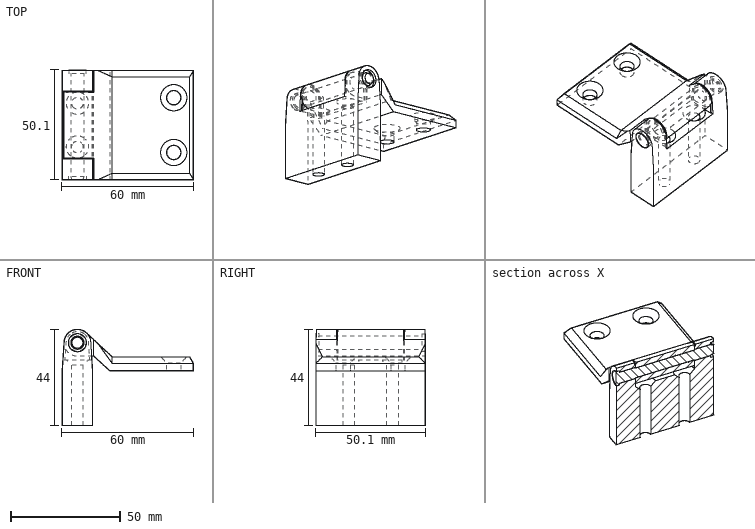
import cadquery as cq
import math


LENGTH = 60.0
WIDTH = 50.0
KNUCKLE_R = 6.1
FOOT_Z = -12.9
HALF_WIDTH = WIDTH / 2
TOOL_MARGIN = 0.6

BASE_T = 14.0
BASE_BOTTOM_Z = -37.85
SLOT_FLOOR_Z = -7.8
SLOT_W = 31.0
PAD_INSET = 1.0
BASE_HOLE_D = 5.3
BASE_SINK_D = 10.2
BASE_HOLE_PITCH = 20.0
BASE_DRAFT = math.tan(math.radians(0.5))

PIN_R = 3.0
PIN_TIP_R = 2.5
TAIL_RECESS_R = 4.15
HEAD_R = 3.9
HEAD_PROUD = 0.1
RECESS_DEPTH = 1.5

BARREL_W = 30.1
LEAF_T = 6.5
BEND_X = 15.9
UNDER_BEND_X = 14.8
KNUCKLE_CLEAR_X = 7.45
BEVEL_H = 3.0
SIDE_BEVEL = 3.0
END_BEVEL = 1.75
BEVEL_START_X = 9.3
LEAF_HOLE_D = 6.4
LEAF_SINK_D = 12.0
LEAF_HOLE_PITCH = 25.0
LEAF_HOLE_EDGE = 9.0
LEAF_DRAFT = math.tan(math.radians(1.0))

LEAF_END_X = LENGTH - BASE_T / 2
LEAF_TOP_Z = FOOT_Z + LEAF_T
LEAF_PART_Z = LEAF_TOP_Z - BEVEL_H


def tangent_point(x, z, radius):
    """Point where a line from (x, z), x > 0, touches the upper part of the circle round the axis."""
    angle = math.atan2(z, x) + math.acos(radius / math.hypot(x, z))
    return radius * math.cos(angle), radius * math.sin(angle)


def along_y(outline, width):
    """Extrude an XZ outline symmetrically about the middle of the hinge."""
    return outline.extrude(width / 2, both=True)


def rod(radius, y_start, y_end):
    """Cylinder on the hinge axis."""
    return cq.Workplane("XZ", origin=(0, y_start, 0)).circle(radius).extrude(y_start - y_end)


def sunk_hole(x, y, z, hole_d, sink_d, depth):
    """Cutter for a 90 degree countersunk hole going down from z."""
    hole_r = hole_d / 2
    sink_r = sink_d / 2
    profile = [(0, 0), (sink_r, 0), (hole_r, hole_r - sink_r), (hole_r, -depth), (0, -depth)]
    cutter = cq.Workplane("XZ").polyline(profile).close().revolve(360, (0, 0), (0, 1))
    return cutter.translate((x, y, z))


def knuckle_outline(inset, foot_z):
    """Round-topped outline of the base above foot_z, moved inward by inset."""
    radius = KNUCKLE_R - inset
    touch_x, touch_z = tangent_point(BASE_T / 2, FOOT_Z, KNUCKLE_R)
    flank_slope = (BASE_T / 2 - touch_x) / (touch_z - FOOT_Z)
    touch_x *= radius / KNUCKLE_R
    touch_z *= radius / KNUCKLE_R
    foot_x = touch_x + flank_slope * (touch_z - foot_z)
    return (
        cq.Workplane("XZ")
        .moveTo(-foot_x, foot_z)
        .lineTo(foot_x, foot_z)
        .lineTo(touch_x, touch_z)
        .threePointArc((0, radius), (-touch_x, touch_z))
        .close()
    )


def drafted_block(bottom_half, bottom_z, top_half, top_z):
    """Block across the base whose Y width changes from bottom to top."""
    profile = [(-bottom_half, bottom_z), (bottom_half, bottom_z), (top_half, top_z), (-top_half, top_z)]
    return cq.Workplane("YZ").polyline(profile).close().extrude(BASE_T, both=True)


def make_base():
    block_h = FOOT_Z - BASE_BOTTOM_Z
    base = cq.Workplane().box(BASE_T, WIDTH, block_h, centered=(True, True, False))
    base = base.translate((0, 0, BASE_BOTTOM_Z))
    top_half = HALF_WIDTH - BASE_DRAFT * (KNUCKLE_R - FOOT_Z)
    upper = along_y(knuckle_outline(0, FOOT_Z), WIDTH)
    base = base.union(upper.intersect(drafted_block(HALF_WIDTH, FOOT_Z, top_half, KNUCKLE_R)))

    floor_half = SLOT_W / 2 + BASE_DRAFT * SLOT_FLOOR_Z
    slot_top_half = SLOT_W / 2 + BASE_DRAFT * KNUCKLE_R
    slot = drafted_block(floor_half, SLOT_FLOOR_Z, slot_top_half, KNUCKLE_R)

    pads = along_y(knuckle_outline(PAD_INSET, SLOT_FLOOR_Z), WIDTH)
    pads = pads.cut(along_y(cq.Workplane("XZ").rect(2 * BASE_T, 4 * KNUCKLE_R), BARREL_W))
    base = base.cut(slot.cut(pads))

    hole_depth = SLOT_FLOOR_Z - BASE_BOTTOM_Z + TOOL_MARGIN
    for y in (-BASE_HOLE_PITCH / 2, BASE_HOLE_PITCH / 2):
        base = base.cut(sunk_hole(0, y, SLOT_FLOOR_Z, BASE_HOLE_D, BASE_SINK_D, hole_depth))

    base = base.cut(rod(PIN_R, -HALF_WIDTH, HALF_WIDTH))
    base = base.cut(rod(TAIL_RECESS_R, -HALF_WIDTH, RECESS_DEPTH - HALF_WIDTH))
    return base.cut(rod(HEAD_R, HALF_WIDTH - RECESS_DEPTH, HALF_WIDTH))


def make_pin():
    head_seat_y = HALF_WIDTH - RECESS_DEPTH
    head_end_y = HALF_WIDTH + HEAD_PROUD
    profile = [
        (0, -HALF_WIDTH),
        (PIN_TIP_R, -HALF_WIDTH),
        (PIN_R, RECESS_DEPTH - HALF_WIDTH),
        (PIN_R, head_seat_y),
        (HEAD_R, head_seat_y),
        (HEAD_R, head_end_y),
        (0, head_end_y),
    ]
    return cq.Workplane("XY").polyline(profile).close().revolve(360, (0, 0), (0, 1))


def draft_wedge(start, end, depth, inward):
    """Cutter that slopes a side face inward below the line from start to end."""
    start = cq.Vector(*start)
    low = start - cq.Vector(0, 0, depth)
    corner = low + cq.Vector(*inward) * (LEAF_DRAFT * depth)
    face = cq.Face.makeFromWires(cq.Wire.makePolygon([start, low, corner], close=True))
    return cq.Workplane(cq.Solid.extrudeLinear(face, cq.Vector(*end) - start))


def leaf_outline():
    """Leaf side outline: barrel round, sloping arm and flat plate with a bevelled outer edge."""
    slope_start = tangent_point(BEND_X, LEAF_TOP_Z, KNUCKLE_R)
    return (
        cq.Workplane("XZ")
        .moveTo(0, -KNUCKLE_R)
        .lineTo(KNUCKLE_CLEAR_X, -KNUCKLE_R)
        .lineTo(UNDER_BEND_X, FOOT_Z)
        .lineTo(LEAF_END_X, FOOT_Z)
        .lineTo(LEAF_END_X, LEAF_PART_Z)
        .lineTo(LEAF_END_X - END_BEVEL, LEAF_TOP_Z)
        .lineTo(BEND_X, LEAF_TOP_Z)
        .lineTo(*slope_start)
        .threePointArc((-KNUCKLE_R, 0), (0, -KNUCKLE_R))
        .close()
    )


def knuckle_gap(side):
    """Cutter beside the barrel that makes room for one base knuckle."""
    x_size = 2 * KNUCKLE_CLEAR_X
    z_size = 4 * KNUCKLE_R
    gap = cq.Workplane().box(x_size, HALF_WIDTH, z_size)
    return gap.translate((0, side * (BARREL_W + HALF_WIDTH) / 2, 0))


def tetrahedron(a, b, c, d):
    triangles = [(a, b, c), (a, b, d), (a, c, d), (b, c, d)]
    faces = [cq.Face.makeFromWires(cq.Wire.makePolygon(corners, close=True)) for corners in triangles]
    return cq.Workplane(cq.Solid.makeSolid(cq.Shell.makeShell(faces)))


def bevel_long_edge(leaf, side):
    """Bevel one long edge of the plate, running out to a point on the sloping arm."""
    edge_y = side * HALF_WIDTH
    section = [
        cq.Vector(BEND_X, edge_y, LEAF_PART_Z),
        cq.Vector(BEND_X, edge_y - side * SIDE_BEVEL, LEAF_TOP_Z),
        cq.Vector(BEND_X, edge_y, LEAF_TOP_Z),
    ]
    face = cq.Face.makeFromWires(cq.Wire.makePolygon(section, close=True))
    plate_bevel = cq.Workplane(cq.Solid.extrudeLinear(face, cq.Vector(LENGTH, 0, 0)))

    touch_x, touch_z = tangent_point(BEND_X, LEAF_TOP_Z, KNUCKLE_R)
    slope = (touch_z - LEAF_TOP_Z) / (BEND_X - touch_x)
    run_out = cq.Vector(BEVEL_START_X, edge_y, LEAF_TOP_Z + slope * (BEND_X - BEVEL_START_X))
    return leaf.cut(plate_bevel).cut(tetrahedron(run_out, *section))


def draft_side(leaf, side):
    """Slope one side of the leaf inward below its parting line."""
    edge_y = side * HALF_WIDTH
    barrel_y = side * BARREL_W / 2
    bend = (BEND_X, edge_y, LEAF_PART_Z)
    parting_lines = [
        ((-KNUCKLE_R, barrel_y, 0), (KNUCKLE_CLEAR_X, barrel_y, 0)),
        ((KNUCKLE_CLEAR_X, edge_y, 0), bend),
        (bend, (LEAF_END_X, edge_y, LEAF_PART_Z)),
    ]
    for start, end in parting_lines:
        leaf = leaf.cut(draft_wedge(start, end, 2 * KNUCKLE_R, (0, -side, 0)))
    return leaf


def make_leaf():
    leaf = along_y(leaf_outline(), WIDTH)
    for side in (-1, 1):
        leaf = leaf.cut(knuckle_gap(side))
        leaf = bevel_long_edge(leaf, side)
        leaf = draft_side(leaf, side)

    edge_start = (LEAF_END_X, -HALF_WIDTH, LEAF_PART_Z)
    edge_end = (LEAF_END_X, HALF_WIDTH, LEAF_PART_Z)
    leaf = leaf.cut(draft_wedge(edge_start, edge_end, LEAF_T, (-1, 0, 0)))

    hole_x = LEAF_END_X - LEAF_HOLE_EDGE
    hole_depth = LEAF_T + TOOL_MARGIN
    for y in (-LEAF_HOLE_PITCH / 2, LEAF_HOLE_PITCH / 2):
        leaf = leaf.cut(sunk_hole(hole_x, y, LEAF_TOP_Z, LEAF_HOLE_D, LEAF_SINK_D, hole_depth))

    return leaf.cut(rod(PIN_R, -HALF_WIDTH, HALF_WIDTH))


base = make_base()
pin = make_pin()
leaf = make_leaf()
result = cq.Compound.makeCompound([*base.val().Solids(), *pin.val().Solids(), *leaf.val().Solids()])